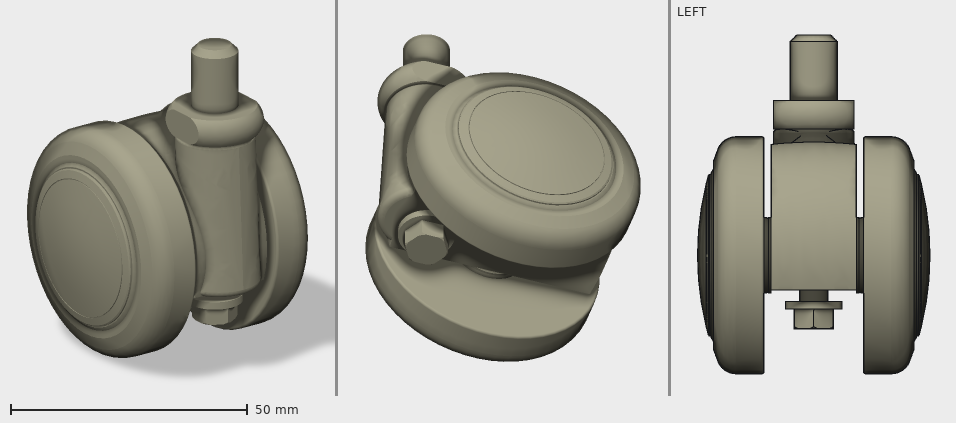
import cadquery as cq
import math


WHEEL_RADIUS = 25.0
WHEEL_INNER_Y = 10.5
WHEEL_EDGE_ROUND = 0.5
BOSS_INNER_Y = 9.5
BOSS_FACE_RADIUS = 7.7
BOSS_RADIUS = 8.0
BOSS_BULGE = 0.1
TREAD_OUTER_Y = 16.3
SHOULDER_RADIUS = 22.5
SHOULDER_Y = 20.15
RIM_RADIUS = 19.8
RIM_Y = 21.15
CAP_RADIUS = 18.15
STEP_RADIUS = 17.4
STEP_Y = 21.7
WALL_RADIUS = 17.1
WALL_TOP_Y = 22.0
DOME_RADIUS = 16.8
DOME_EDGE_Y = 22.25
DOME_TOP_Y = 24.5
GROOVE_RADIUS = 15.0
GROOVE_WIDTH = 0.2
GROOVE_DEPTH = 0.2

HOUSING_HALF_WIDTH = 9.0
CORE_RADIUS = 23.9
CORE_EDGE_RADIUS = 23.4
HOUSING_BOTTOM_Z = -7.4
COLUMN_TOP_Z = 26.6
COLUMN_TOP_RADIUS = 8.5
COLUMN_TOP_X = 17.15
COLUMN_TOP_ROUND = 0.85
COLUMN_BOTTOM_RADIUS = 8.95
COLUMN_BOTTOM_X = 18.45
COLUMN_BOTTOM_ROUND = 1.35
NECK_RADIUS = 6.8
NECK_FILLET = 2.6
NECK_STANDOFF = 0.1
HUB_RADIUS = 8.0

STEM_X = 17.0
STEM_TOP_Z = 46.5
STEM_RADIUS = 5.0
STEM_CHAMFER = 1.4
COLLAR_TOP_Z = 32.7
COLLAR_RADIUS = 10.4
COLLAR_END_RADIUS = 9.0
COLLAR_HALF_FLATS = 8.5
ROD_RADIUS = 3.0
WASHER_TOP_Z = -9.7
WASHER_BOTTOM_Z = -11.4
WASHER_RADIUS = 6.0
HEX_BOTTOM_Z = -15.5
HEX_FLATS = 8.3
HEX_CHAMFER = 0.4


def dome_y(radius):
    """Height of the spherical cap dome at a distance from the wheel axis."""
    rise = DOME_TOP_Y - DOME_EDGE_Y
    sphere = (DOME_RADIUS**2 + rise**2) / (2 * rise)
    return DOME_TOP_Y - sphere + math.sqrt(sphere**2 - radius**2)


def make_wheel(side):
    """Wheel on the +Y side (side = 1) or the -Y side (side = -1)."""
    boss_middle_radius = (BOSS_FACE_RADIUS + BOSS_RADIUS) / 2 + BOSS_BULGE
    boss_middle_y = (BOSS_INNER_Y + WHEEL_INNER_Y) / 2
    wheel = (
        cq.Workplane("XY")
        .moveTo(0, BOSS_INNER_Y)
        .lineTo(BOSS_FACE_RADIUS, BOSS_INNER_Y)
        .threePointArc((boss_middle_radius, boss_middle_y), (BOSS_RADIUS, WHEEL_INNER_Y))
        .lineTo(WHEEL_RADIUS - WHEEL_EDGE_ROUND, WHEEL_INNER_Y)
        .tangentArcPoint((WHEEL_RADIUS, WHEEL_INNER_Y + WHEEL_EDGE_ROUND), relative=False)
        .lineTo(WHEEL_RADIUS, TREAD_OUTER_Y)
        .tangentArcPoint((SHOULDER_RADIUS, SHOULDER_Y), relative=False)
        .lineTo(RIM_RADIUS, RIM_Y)
        .lineTo(CAP_RADIUS, RIM_Y)
        .lineTo(STEP_RADIUS, STEP_Y)
        .lineTo(WALL_RADIUS, STEP_Y)
        .lineTo(WALL_RADIUS, WALL_TOP_Y)
        .lineTo(DOME_RADIUS, DOME_EDGE_Y)
        .threePointArc((DOME_RADIUS / 2, dome_y(DOME_RADIUS / 2)), (0, DOME_TOP_Y))
        .close()
        .revolve(360, (0, 0), (0, 1))
    )
    groove_floor_y = dome_y(GROOVE_RADIUS) - GROOVE_DEPTH
    groove = (
        cq.Workplane("XZ", origin=(0, groove_floor_y, 0))
        .circle(GROOVE_RADIUS + GROOVE_WIDTH / 2)
        .circle(GROOVE_RADIUS - GROOVE_WIDTH / 2)
        .extrude(groove_floor_y - DOME_TOP_Y)
    )
    wheel = wheel.cut(groove)
    return wheel if side > 0 else wheel.mirror("XZ")


def make_drum():
    """Crowned drum around the wheel axis."""
    return (
        cq.Workplane("XY")
        .moveTo(0, -HOUSING_HALF_WIDTH)
        .lineTo(CORE_EDGE_RADIUS, -HOUSING_HALF_WIDTH)
        .threePointArc((CORE_RADIUS, 0), (CORE_EDGE_RADIUS, HOUSING_HALF_WIDTH))
        .lineTo(0, HOUSING_HALF_WIDTH)
        .close()
        .revolve(360, (0, 0), (0, 1))
    )


def make_column():
    """Leaning tapered column around the stem, rounded at its top rim and its foot."""
    return (
        cq.Workplane("XY", origin=(0, 0, HOUSING_BOTTOM_Z))
        .center(COLUMN_BOTTOM_X, 0)
        .circle(COLUMN_BOTTOM_RADIUS)
        .workplane(offset=COLUMN_TOP_Z - HOUSING_BOTTOM_Z)
        .center(COLUMN_TOP_X - COLUMN_BOTTOM_X, 0)
        .circle(COLUMN_TOP_RADIUS)
        .loft(ruled=True)
        .faces("<Z").edges().fillet(COLUMN_BOTTOM_ROUND)
        .faces(">Z").edges().fillet(COLUMN_TOP_ROUND)
    )


def make_blended_drum():
    """Drum with a filleted neck whose blend fades out around the column's sides."""
    neck_x = COLUMN_TOP_X - COLUMN_TOP_RADIUS - NECK_STANDOFF + NECK_RADIUS
    neck = cq.Workplane("XY").center(neck_x, 0).circle(NECK_RADIUS).extrude(COLUMN_TOP_Z)
    seam = cq.selectors.BoxSelector(
        (0, -HOUSING_HALF_WIDTH, 0.7),
        (CORE_RADIUS, HOUSING_HALF_WIDTH, COLUMN_TOP_Z - 0.7))
    blended = make_drum().union(neck).edges(seam).fillet(NECK_FILLET)
    reach = 2 * CORE_RADIUS
    return blended.intersect(
        cq.Workplane("XY", origin=(0, 0, HOUSING_BOTTOM_Z)).rect(reach, reach).extrude(reach))


def make_hub(side):
    """Washer-like disc between the drum and the wheel on one side."""
    hub = cq.Workplane("XZ", origin=(0, side * HOUSING_HALF_WIDTH, 0)).circle(HUB_RADIUS)
    return hub.extrude(-side * (BOSS_INNER_Y - HOUSING_HALF_WIDTH))


def make_housing():
    housing = make_blended_drum().union(make_column())
    for side in (-1, 1):
        housing = housing.union(make_hub(side))
    bore = (
        cq.Workplane("XY", origin=(STEM_X, 0, HOUSING_BOTTOM_Z))
        .circle(ROD_RADIUS)
        .extrude(COLUMN_TOP_Z - HOUSING_BOTTOM_Z)
    )
    return housing.cut(bore)


def make_stem():
    """Threaded end, collar with two flats, rod through the housing, washer and hex head."""
    collar_middle_z = (COLUMN_TOP_Z + COLLAR_TOP_Z) / 2
    collar = (
        cq.Workplane("XZ")
        .moveTo(0, COLUMN_TOP_Z)
        .lineTo(COLLAR_END_RADIUS, COLUMN_TOP_Z)
        .threePointArc((COLLAR_RADIUS, collar_middle_z), (COLLAR_END_RADIUS, COLLAR_TOP_Z))
        .lineTo(0, COLLAR_TOP_Z)
        .close()
        .revolve(360, (0, 0), (0, 1))
    )
    flats = cq.Workplane("XY", origin=(0, 0, collar_middle_z)).box(
        4 * COLLAR_RADIUS, 2 * COLLAR_HALF_FLATS, 2 * COLLAR_RADIUS)
    shank = (
        cq.Workplane("XY", origin=(0, 0, COLLAR_TOP_Z))
        .circle(STEM_RADIUS)
        .extrude(STEM_TOP_Z - COLLAR_TOP_Z)
        .faces(">Z").edges().chamfer(STEM_CHAMFER)
    )
    rod = (
        cq.Workplane("XY", origin=(0, 0, WASHER_TOP_Z))
        .circle(ROD_RADIUS)
        .extrude(COLUMN_TOP_Z - WASHER_TOP_Z)
    )
    washer = (
        cq.Workplane("XY", origin=(0, 0, WASHER_BOTTOM_Z))
        .circle(WASHER_RADIUS)
        .extrude(WASHER_TOP_Z - WASHER_BOTTOM_Z)
    )
    hex_height = WASHER_BOTTOM_Z - HEX_BOTTOM_Z
    hex_corners = HEX_FLATS / math.cos(math.pi / 6)
    hex_head = cq.Workplane("XY", origin=(0, 0, HEX_BOTTOM_Z)).polygon(6, hex_corners).extrude(hex_height)
    corner_turning = (
        cq.Workplane("XY", origin=(0, 0, HEX_BOTTOM_Z))
        .circle(hex_corners / 2)
        .extrude(hex_height)
        .faces("<Z").edges().chamfer(HEX_CHAMFER, HEX_CHAMFER)
    )
    stem = collar.intersect(flats).union(shank).union(rod).union(washer)
    return stem.union(hex_head.intersect(corner_turning)).translate((STEM_X, 0, 0))


wheels = [make_wheel(side) for side in (-1, 1)]
housing = make_housing()
stem = make_stem()

result = cq.Compound.makeCompound([
    *[wheel.solids().val() for wheel in wheels],
    housing.solids().val(),
    stem.solids().val(),
])